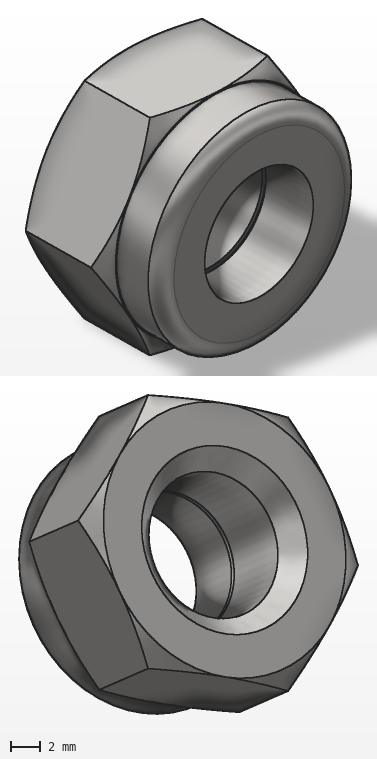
import cadquery as cq
import math

across_corners = 21.95
hex_length = 8.0
total_length = 12.0
collar_diameter = 18.8
rim_length = 0.97
rim_radius = 1.58
bore_diameter = 10.11
entry_diameter = 13.0
entry_depth = 1.45
step_start = 7.09
step_chamfer = 0.35
corner_chamfer_angle = 30.0

across_flats = across_corners * math.cos(math.radians(30))
corner_radius = across_corners / 2
flat_radius = across_flats / 2
chamfer_slope = math.tan(math.radians(corner_chamfer_angle))
chamfer_length = (corner_radius - flat_radius) * chamfer_slope


def revolve_about_x(profile):
    return profile.close().revolve(360, (0, 0, 0), (1, 0, 0))


def hex_body():
    """Hexagonal prism with both ends turned down conically at the corners."""
    prism = cq.Workplane("YZ").polygon(6, across_corners).extrude(hex_length)
    turned_envelope = revolve_about_x(
        cq.Workplane("XY")
        .moveTo(0, 0)
        .lineTo(0, flat_radius)
        .lineTo(chamfer_length, corner_radius)
        .lineTo(hex_length - chamfer_length, corner_radius)
        .lineTo(hex_length, flat_radius)
        .lineTo(hex_length, 0)
    )
    return prism.intersect(turned_envelope)


def collar():
    """Round collar whose outer rim curves over to meet the flat end face."""
    collar_radius = collar_diameter / 2
    rim_start = total_length - rim_length
    arc_center_x = total_length - rim_radius
    arc_center_y = collar_radius - math.sqrt(rim_radius**2 - (rim_start - arc_center_x) ** 2)
    mid_angle = math.atan2(collar_radius - arc_center_y, rim_start - arc_center_x) / 2
    return revolve_about_x(
        cq.Workplane("XY")
        .moveTo(hex_length, 0)
        .lineTo(hex_length, collar_radius)
        .lineTo(rim_start, collar_radius)
        .threePointArc(
            (
                arc_center_x + rim_radius * math.cos(mid_angle),
                arc_center_y + rim_radius * math.sin(mid_angle),
            ),
            (total_length, arc_center_y),
        )
        .lineTo(total_length, 0)
    )


def bore():
    """Through bore with a conical entry and a chamfered step deep inside."""
    bore_radius = bore_diameter / 2
    return revolve_about_x(
        cq.Workplane("XY")
        .moveTo(0, 0)
        .lineTo(0, entry_diameter / 2)
        .lineTo(entry_depth, bore_radius)
        .lineTo(step_start, bore_radius)
        .lineTo(step_start, bore_radius + step_chamfer)
        .lineTo(step_start + step_chamfer, bore_radius)
        .lineTo(total_length, bore_radius)
        .lineTo(total_length, 0)
    )


result = hex_body().union(collar()).cut(bore())